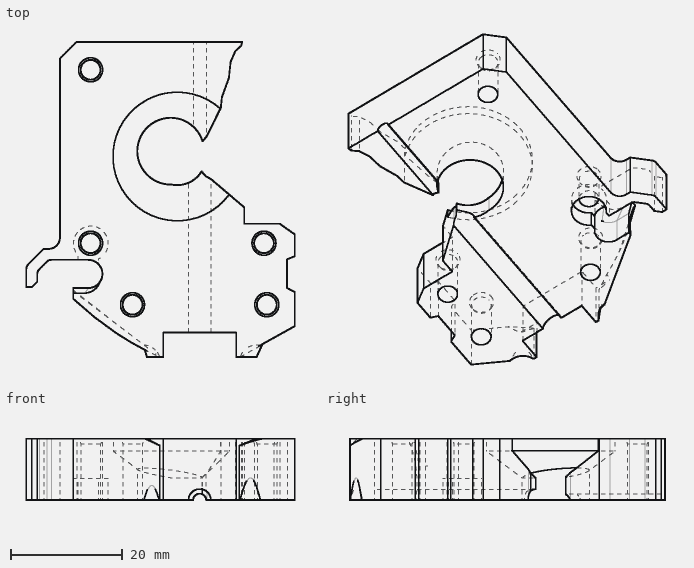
import cadquery as cq

thickness = 11.0
cut_margin = 10.0

left_x = -21.0
right_x = 21.0
back_y = 20.5
front_y = -35.85
back_chamfer = 3.0

motor_hole_offset = 15.5
hole_radius = 3.5 / 2
hole_mouth_flare = 0.4
hole_mouth_depth = 0.9

head_radius = 6.2 / 2
head_depth = 3.9
channel_left_x = -17.8
channel_right_x = -14.1
channel_end_y = -21.0

path_x = 4.0
path_radius = 2.0
back_path_radius = 1.15
front_hole_offset = 12.0
front_hole_y = -26.5
front_slot_width = 13.0
front_slot_y = -31.5
slot_left_x = path_x - front_slot_width / 2
slot_right_x = path_x + front_slot_width / 2

recess_radius = 11.5
recess_depth = 2.2
recess_z = thickness - recess_depth
pilot_radius = 5.1
pilot_top_z = 4.0
bore_radius = 5.95
bore_x = -1.18
bore_y = 0.95

cable_slot_y = -18.5
cable_slot_radius = 2.5
cable_slot_end_x = -13.4
cable_slot_arc_x = cable_slot_end_x - cable_slot_radius
cable_slot_front_y = cable_slot_y - 2 * cable_slot_radius
slot_flare_z = 6.2
slot_flare_radius = 2.97
slot_flare_arc_x = -16.65
slot_flare_left_x = -20.0

hook_wall = 2.0
hook_x = -27.0
hook_inner_x = hook_x + hook_wall
hook_back_y = cable_slot_y + hook_wall
hook_end_y = -23.36
hook_end_chamfer = 1.0
hook_outer_bend = 3.12
hook_inner_bend = 2.0
hook_bend_radius = 1.1
hook_root_radius = 2.0

tip_width = 0.6
tip_left_x = slot_left_x - tip_width
tip_right_x = slot_right_x + tip_width

rib_height = 1.25
left_rib_front_x = -5.45
left_rib_rear_x = -5.8
left_rib_length = 1.2
right_rib_front_x = 14.2
right_rib_rear_x = 15.17
right_rib_length = 2.15

cheek_x = -18.6
cheek_sections = [
    (cheek_x, -24.08, -24.02, -25.46),
    (-10.6, -30.15, -30.45, -31.8),
    (tip_left_x, front_y, front_y, front_y),
]

relief_offset = 10.15
relief_y = -36.75
relief_radius = 3.1
relief_height = 15.0

right_cheek_y = -30.35
notch_depth = 1.35
notch_front_y = -24.2
notch_inner_front_y = -23.5
notch_inner_back_y = -18.4
notch_back_y = -17.85
ledge_x = 12.0
ledge_y = -12.0
ledge_corner_x = 18.3
ledge_corner_y = -13.9

gap_front_edge = [(ledge_x, -9.1), (6.0, -4.0), (5.05, -3.5), (4.35, -2.65)]
gap_back_edge = [
    (4.47, 2.67),
    (5.25, 3.55),
    (7.8, 8.7),
    (8.0, 10.6),
    (9.25, 14.05),
    (9.55, 16.9),
    (10.4, 18.85),
    (11.45, 19.8),
    (11.6, back_y),
]


def disc(x, y, z, radius, height):
    return cq.Workplane("XY", origin=(x, y, z)).circle(radius).extrude(height)


def cone(x, y, z, bottom_radius, top_radius, height):
    return cq.Workplane(cq.Solid.makeCone(bottom_radius, top_radius, height, cq.Vector(x, y, z)))


def upright_edge(x, y):
    """Selector for the vertical edge that passes through (x, y)."""
    reach = 0.1
    low = (x - reach, y - reach, -reach)
    high = (x + reach, y + reach, thickness + reach)
    return cq.selectors.BoxSelector(low, high)


def plate():
    """Full-height outline; the front left corner stays square until it is scooped."""
    outer_bend_end_y = hook_back_y - hook_outer_bend
    inner_bend_end_y = cable_slot_y - hook_inner_bend
    inner_bend_start_x = hook_inner_x + hook_inner_bend
    notch_x = right_x - notch_depth
    outline = (
        cq.Workplane("XY")
        .moveTo(left_x + back_chamfer, back_y)
        .lineTo(left_x, back_y - back_chamfer)
        .lineTo(left_x, hook_back_y)
        .lineTo(hook_x + hook_outer_bend, hook_back_y)
        .lineTo(hook_x, outer_bend_end_y)
        .lineTo(hook_x, hook_end_y)
        .lineTo(hook_inner_x - hook_end_chamfer, hook_end_y)
        .lineTo(hook_inner_x, hook_end_y + hook_end_chamfer)
        .lineTo(hook_inner_x, inner_bend_end_y)
        .lineTo(inner_bend_start_x, cable_slot_y)
        .lineTo(cable_slot_arc_x, cable_slot_y)
        .threePointArc(
            (cable_slot_end_x, cable_slot_y - cable_slot_radius),
            (cable_slot_arc_x, cable_slot_front_y),
        )
        .lineTo(cheek_x, cable_slot_front_y)
        .lineTo(cheek_x, front_y)
        .lineTo(slot_left_x, front_y)
        .lineTo(slot_left_x, front_slot_y)
        .lineTo(slot_right_x, front_slot_y)
        .lineTo(slot_right_x, front_y)
        .lineTo(tip_right_x, front_y)
        .lineTo(right_x, right_cheek_y)
        .lineTo(right_x, notch_front_y)
        .lineTo(notch_x, notch_inner_front_y)
        .lineTo(notch_x, notch_inner_back_y)
        .lineTo(right_x, notch_back_y)
        .lineTo(right_x, ledge_corner_y)
        .lineTo(ledge_corner_x, ledge_y)
        .lineTo(ledge_x, ledge_y)
    )
    for x, y in gap_front_edge + [(0, 0)] + gap_back_edge:
        outline = outline.lineTo(x, y)
    body = outline.close().extrude(thickness)

    body = body.edges(upright_edge(left_x, hook_back_y)).fillet(hook_root_radius)
    bends = [
        (hook_x, outer_bend_end_y),
        (hook_inner_x, inner_bend_end_y),
        (inner_bend_start_x, cable_slot_y),
    ]
    for x, y in bends:
        body = body.edges(upright_edge(x, y)).fillet(hook_bend_radius)
    return body


def cheek_scoop():
    """Lofted cutter: hollow from bottom to top at the left, flat at the tip."""
    outer_y = front_y - cut_margin
    wires = []
    for x, bottom_y, middle_y, top_y in cheek_sections:
        bottom = cq.Vector(x, bottom_y, 0)
        middle = cq.Vector(x, middle_y, thickness / 2)
        top = cq.Vector(x, top_y, thickness)
        outer_top = cq.Vector(x, outer_y, thickness)
        outer_bottom = cq.Vector(x, outer_y, 0)
        if bottom_y == middle_y == top_y:
            wall = cq.Edge.makeLine(bottom, top)
        else:
            wall = cq.Edge.makeThreePointArc(bottom, middle, top)
        edges = [
            wall,
            cq.Edge.makeLine(top, outer_top),
            cq.Edge.makeLine(outer_top, outer_bottom),
            cq.Edge.makeLine(outer_bottom, bottom),
        ]
        wires.append(cq.Wire.assembleEdges(edges))
    return cq.Workplane(cq.Solid.makeLoft(wires))


def tip_rib(tip_x, front_x, rear_x, length):
    """Wedge below the top face, running back from the front face of a tip."""
    wires = []
    for reach_x, y in [(front_x, front_y), (rear_x, front_y + length)]:
        corners = [
            cq.Vector(tip_x, y, thickness - rib_height),
            cq.Vector(reach_x, y, thickness),
            cq.Vector(tip_x, y, thickness),
        ]
        wires.append(cq.Wire.makePolygon(corners, close=True))
    return cq.Workplane(cq.Solid.makeLoft(wires, True))


def motor_opening():
    recess = disc(0, 0, recess_z, recess_radius, recess_depth)
    seat = cone(0, 0, pilot_top_z, pilot_radius, recess_radius, recess_z - pilot_top_z)
    pilot = disc(0, 0, 0, pilot_radius, pilot_top_z)
    bore = disc(bore_x, bore_y, 0, bore_radius, recess_z)
    return recess.union(seat).union(pilot).union(bore)


def flared_slot():
    """Widening of the cable slot toward its front side, growing up to the top face."""

    def section(plane, radius, arc_x):
        section_front_y = cable_slot_y - 2 * radius
        return (
            plane.moveTo(arc_x, cable_slot_y)
            .threePointArc((arc_x + radius, cable_slot_y - radius), (arc_x, section_front_y))
            .lineTo(slot_flare_left_x, section_front_y)
            .lineTo(slot_flare_left_x, cable_slot_y)
            .close()
        )

    base = cq.Workplane("XY").workplane(offset=slot_flare_z)
    lower = section(base, cable_slot_radius, cable_slot_arc_x)
    upper_plane = lower.workplane(offset=thickness - slot_flare_z)
    return section(upper_plane, slot_flare_radius, slot_flare_arc_x).loft()


def screw_hole(x, y):
    mouth_z = thickness - hole_mouth_depth
    shaft = disc(x, y, 0, hole_radius, thickness)
    mouth = cone(x, y, mouth_z, hole_radius, hole_radius + hole_mouth_flare, hole_mouth_depth)
    return shaft.union(mouth)


def head_pocket():
    """Screw head pocket of the front left motor hole, opened into the cable slot by a channel."""
    pocket = disc(-motor_hole_offset, -motor_hole_offset, 0, head_radius, head_depth)
    channel = cq.Workplane("XY").box(
        channel_right_x - channel_left_x,
        -motor_hole_offset - channel_end_y,
        head_depth,
        centered=False,
    )
    return pocket.union(channel.translate((channel_left_x, channel_end_y, 0)))


def filament_path():
    """Half-round groove along the underside, narrower behind the motor axis."""
    start = cq.Workplane("XZ").center(path_x, 0)
    front_part = start.circle(path_radius).extrude(-front_y)
    back_part = start.circle(back_path_radius).extrude(-back_y)
    return front_part.union(back_part)


screw_points = [
    (-motor_hole_offset, motor_hole_offset),
    (-motor_hole_offset, -motor_hole_offset),
    (motor_hole_offset, -motor_hole_offset),
    (path_x - front_hole_offset, front_hole_y),
    (path_x + front_hole_offset, front_hole_y),
]

result = plate().cut(cheek_scoop())
result = result.union(tip_rib(tip_left_x, left_rib_front_x, left_rib_rear_x, left_rib_length))
result = result.union(tip_rib(tip_right_x, right_rib_front_x, right_rib_rear_x, right_rib_length))
result = result.cut(motor_opening())
result = result.cut(flared_slot())
for hole_x, hole_y in screw_points:
    result = result.cut(screw_hole(hole_x, hole_y))
result = result.cut(head_pocket())
result = result.cut(filament_path())
for side in (-1, 1):
    result = result.cut(cone(path_x + side * relief_offset, relief_y, 0, relief_radius, 0, relief_height))